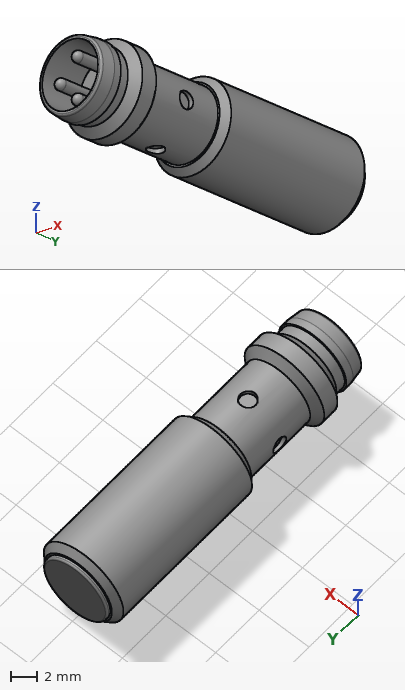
import cadquery as cq

length = 29.4
body_radius = 4.0
neck_radius = 3.2
edge_round = 0.18

lip_radius = 3.38
lip_tip_radius = 3.23
lip_taper_end = 1.25
lip_end = 2.0

collar_start = 2.97
collar_front = 3.73
collar_back = 5.25
collar_end = 5.97

barrel_start = 12.97
barrel_full_start = 13.58
barrel_full_end = 28.4
barrel_end = 29.02
bevel_radius = 3.38

socket_radius = 2.88
socket_depth = 4.12
pin_radius = 0.5
pin_offset = 1.75
pin_tip_y = 0.38
pin_positions = [(-pin_offset, 0), (0, pin_offset), (0, -pin_offset)]

window_radius = 0.75
window_y = 9.47
window_depth = 0.45
window_count = 4


def make_body():
    """Revolve the outer profile, given as (radius, Y), about the Y axis."""
    profile = (
        cq.Workplane("XY")
        .moveTo(0, 0)
        .lineTo(lip_tip_radius - edge_round, 0)
        .radiusArc((lip_tip_radius, edge_round), -edge_round)
        .lineTo(lip_radius, lip_taper_end)
        .lineTo(lip_radius, lip_end)
        .lineTo(neck_radius, lip_end)
        .lineTo(neck_radius, collar_start)
        .lineTo(body_radius, collar_front)
        .lineTo(body_radius, collar_back)
        .lineTo(neck_radius, collar_end)
        .lineTo(neck_radius, barrel_start)
        .lineTo(bevel_radius, barrel_start)
        .lineTo(body_radius, barrel_full_start)
        .lineTo(body_radius, barrel_full_end)
        .lineTo(bevel_radius, barrel_end)
        .lineTo(neck_radius, barrel_end)
        .lineTo(neck_radius, length - edge_round)
        .radiusArc((neck_radius - edge_round, length), -edge_round)
        .lineTo(0, length)
        .close()
    )
    return profile.revolve(360, (0, 0, 0), (0, 1, 0))


def make_socket():
    return cq.Workplane("XZ").circle(socket_radius).extrude(-socket_depth)


def make_pin(x, z):
    """Round pin rising from the socket floor to a hemispherical tip."""
    shoulder_y = pin_tip_y + pin_radius
    shank = (
        cq.Workplane("XZ", origin=(x, shoulder_y, z))
        .circle(pin_radius)
        .extrude(shoulder_y - socket_depth)
    )
    tip = cq.Workplane("XY", origin=(x, shoulder_y, z)).sphere(pin_radius)
    return shank.union(tip)


def make_window(angle):
    """Cutter for one window, turned about the Y axis to its place."""
    cutter = (
        cq.Workplane("XY", origin=(0, window_y, neck_radius - window_depth))
        .circle(window_radius)
        .extrude(2 * window_depth)
    )
    return cutter.rotate((0, 0, 0), (0, 1, 0), angle)


result = make_body().cut(make_socket())
for pin_x, pin_z in pin_positions:
    result = result.union(make_pin(pin_x, pin_z))
for index in range(window_count):
    result = result.cut(make_window(index * 360 / window_count))